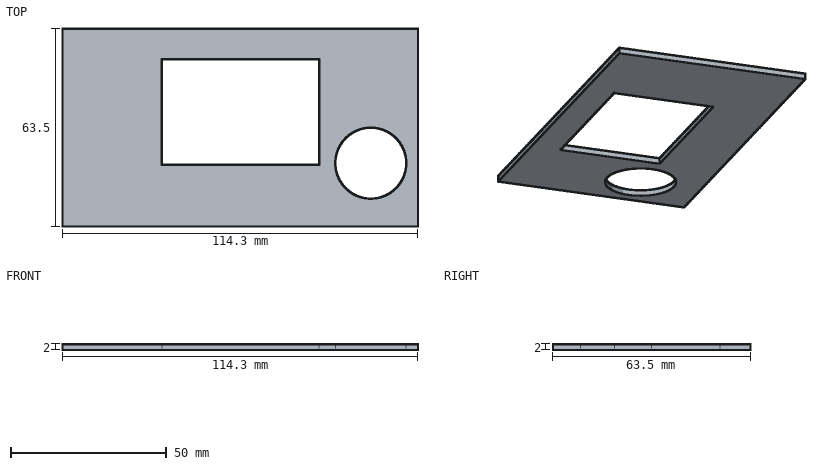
import cadquery as cq

plate_length = 114.3
plate_width = 63.5
plate_thickness = 2.0

window_length = 50.5
window_width = 33.8
window_left_margin = 32.0
window_back_margin = 9.8

hole_diameter = 22.7
hole_right_offset = 15.2
hole_front_offset = 20.3

window_x = -plate_length / 2 + window_left_margin + window_length / 2
window_y = plate_width / 2 - window_back_margin - window_width / 2
hole_x = plate_length / 2 - hole_right_offset
hole_y = -plate_width / 2 + hole_front_offset

plate = cq.Workplane("XY").rect(plate_length, plate_width).extrude(plate_thickness)

window = (
    cq.Workplane("XY")
    .center(window_x, window_y)
    .rect(window_length, window_width)
    .extrude(plate_thickness)
)

hole = (
    cq.Workplane("XY")
    .center(hole_x, hole_y)
    .circle(hole_diameter / 2)
    .extrude(plate_thickness)
)

result = plate.cut(window).cut(hole)